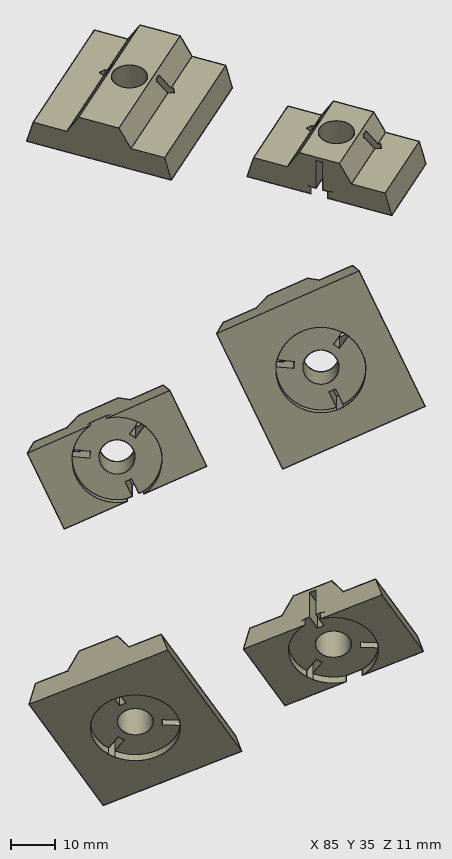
import cadquery as cq
import math

base_width = 35.0
base_height = 6.0
total_height = 11.0
base_draft_angle = 15.0
ridge_foot_width = 15.5
ridge_draft_angle = 30.0

long_block_length = 35.0
short_block_length = 19.6
block_spacing = 50.0

bore_diameter = 8.0
recess_diameter = 20.0
recess_depth = 2.0

slot_count = 3
first_slot_angle = 30.0
slot_width = 1.6
slot_inner_radius = 6.0
slot_outer_radius = recess_diameter / 2
slot_roof_thickness = 1.0


def profile_bar(length):
    """Stepped trapezoid section, centred on the origin and extruded along Y."""
    base_half = base_width / 2
    shoulder_half = base_half - base_height * math.tan(math.radians(base_draft_angle))
    ridge_height = total_height - base_height
    ridge_foot_half = ridge_foot_width / 2
    ridge_top_half = ridge_foot_half - ridge_height * math.tan(math.radians(ridge_draft_angle))
    right_side = [
        (base_half, 0),
        (shoulder_half, base_height),
        (ridge_foot_half, base_height),
        (ridge_top_half, total_height),
    ]
    left_side = [(-x, z) for x, z in reversed(right_side)]
    return (
        cq.Workplane("XZ")
        .polyline(right_side + left_side)
        .close()
        .extrude(length / 2, both=True)
    )


def radial_slot(angle):
    """Cutter for one slot, pointing outwards from the bore axis at the given angle."""
    slot_length = slot_outer_radius - slot_inner_radius
    slot_top = total_height - slot_roof_thickness
    return (
        cq.Workplane("XY")
        .box(slot_length, slot_width, slot_top, centered=(False, True, False))
        .translate((slot_inner_radius, 0, 0))
        .rotate((0, 0, 0), (0, 0, 1), angle)
    )


def clamp_block(length, center_x):
    """One block with its bore, underside recess and slots."""
    bore = cq.Workplane("XY").circle(bore_diameter / 2).extrude(total_height)
    recess = cq.Workplane("XY").circle(recess_diameter / 2).extrude(recess_depth)
    block = profile_bar(length).cut(bore).cut(recess)
    for index in range(slot_count):
        block = block.cut(radial_slot(first_slot_angle + index * 360 / slot_count))
    return block.translate((center_x, 0, 0))


long_block = clamp_block(long_block_length, -block_spacing / 2)
short_block = clamp_block(short_block_length, block_spacing / 2)

result = cq.Compound.makeCompound([long_block.val(), short_block.val()])